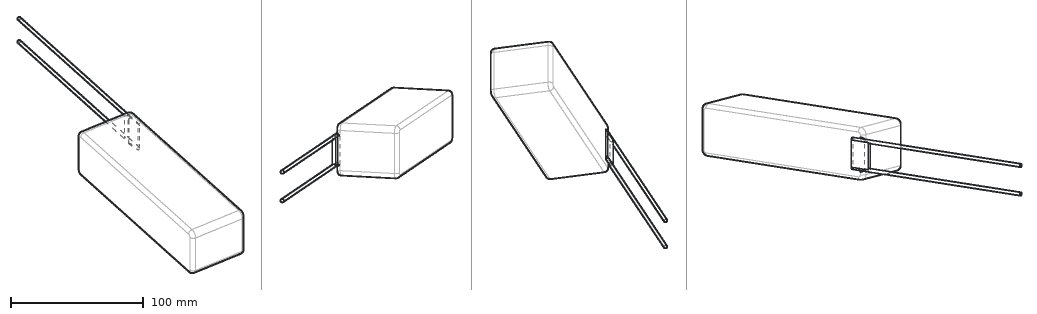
import cadquery as cq

total_length = 305
total_depth = 50.0
height = 40.5

body_length = 155.0
body_depth = 48.5
end_radius = 5.0
face_radius = 3.0

rod_diameter = 2.7
rod_spacing = 22.0
web_height = 21.0
rod_end_inset = 10.0
web_overhang = 5.8

square_edge_height = 26.8
square_edge_radius = 2.7

rod_length = total_length - body_length + rod_end_inset


def make_body():
    """Block with its front face on y = 0 and its left end on x = 0."""
    block = cq.Workplane("XY").box(
        body_length, body_depth, height, centered=(False, False, True)
    )
    return block.edges("|Y").fillet(end_radius).faces("<Y or >Y").edges().fillet(face_radius)


def make_square_edge():
    """Filler that squares the rounded edge behind the web, with rounded ends."""
    return (
        cq.Workplane("XY")
        .box(end_radius, face_radius, square_edge_height, centered=(False, False, True))
        .edges("|Y and <X")
        .fillet(square_edge_radius)
        .translate((0, body_depth - face_radius, 0))
    )


def make_rod(z):
    """Round rod along X, ending behind the body."""
    rod_axis_y = total_depth - rod_diameter / 2
    return (
        cq.Workplane("YZ", origin=(body_length - total_length, rod_axis_y, z))
        .circle(rod_diameter / 2)
        .extrude(rod_length)
    )


def make_web():
    """Flat web joining the two rods, as thick as the rods."""
    return cq.Workplane("XY").box(
        web_overhang + rod_end_inset, rod_diameter, web_height, centered=(False, False, True)
    ).translate((-web_overhang, total_depth - rod_diameter, 0))


result = make_body().union(make_square_edge()).union(make_web())
for side in (-1, 1):
    result = result.union(make_rod(side * rod_spacing / 2))